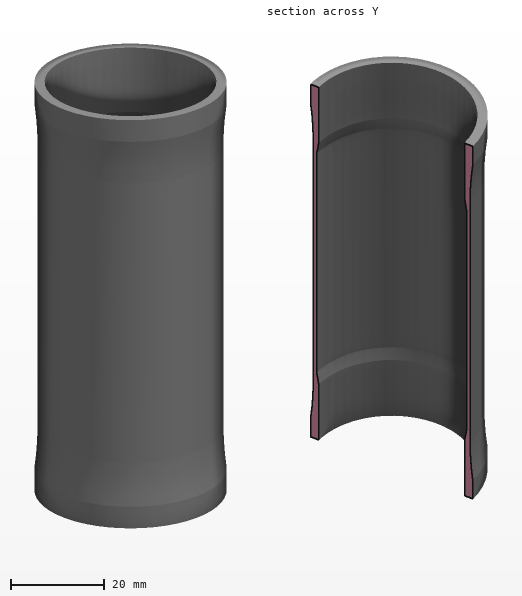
import cadquery as cq

length = 95.0
collar_diameter = 41.0
body_diameter = 39.7
collar_height = 5.0
flare_height = 10.0
neck_diameter = 36.7
bore_diameter = 37.7
neck_depth = 15.0
taper_height = 3.0

collar_radius = collar_diameter / 2
body_radius = body_diameter / 2
flare_step = collar_radius - body_radius
flare_end = collar_height + flare_height

flare_arc_radius = (flare_height**2 + flare_step**2) / (2 * flare_step)
half_height = flare_height / 2
mid_radius = body_radius + flare_arc_radius - (flare_arc_radius**2 - half_height**2) ** 0.5
mid_height = collar_height + half_height

outer = (
    cq.Workplane("XZ")
    .lineTo(collar_radius, 0)
    .lineTo(collar_radius, collar_height)
    .threePointArc((mid_radius, mid_height), (body_radius, flare_end))
    .lineTo(body_radius, length - flare_end)
    .threePointArc((mid_radius, length - mid_height), (collar_radius, length - collar_height))
    .lineTo(collar_radius, length)
    .lineTo(0, length)
    .close()
    .revolve(360, (0, 0, 0), (0, 1, 0))
)

neck_radius = neck_diameter / 2
bore_radius = bore_diameter / 2
bore_start = neck_depth + taper_height
cavity = (
    cq.Workplane("XZ")
    .lineTo(neck_radius, 0)
    .lineTo(neck_radius, neck_depth)
    .lineTo(bore_radius, bore_start)
    .lineTo(bore_radius, length - bore_start)
    .lineTo(neck_radius, length - neck_depth)
    .lineTo(neck_radius, length)
    .lineTo(0, length)
    .close()
    .revolve(360, (0, 0, 0), (0, 1, 0))
)

result = outer.cut(cavity)